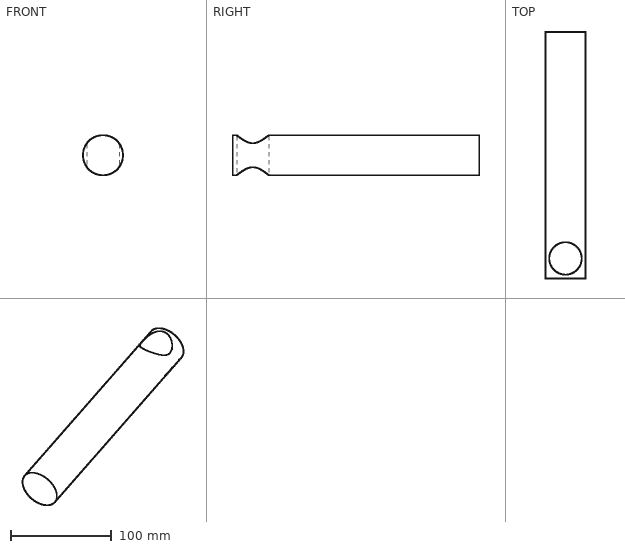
import cadquery as cq

rod_diameter = 40.0
rod_length = 245.0
hole_diameter = 32.0
hole_end_distance = 20.0


def make_rod():
    """Solid round rod along +Y, front end face at Y = 0."""
    front_plane = cq.Plane(origin=(0, 0, 0), xDir=(1, 0, 0), normal=(0, 1, 0))
    return cq.Workplane(front_plane).circle(rod_diameter / 2).extrude(rod_length)


def make_cross_hole():
    """Vertical cylinder that pierces the rod near its front end."""
    return (
        cq.Workplane("XY")
        .center(0, hole_end_distance)
        .circle(hole_diameter / 2)
        .extrude(rod_diameter, both=True)
    )


result = make_rod().cut(make_cross_hole())